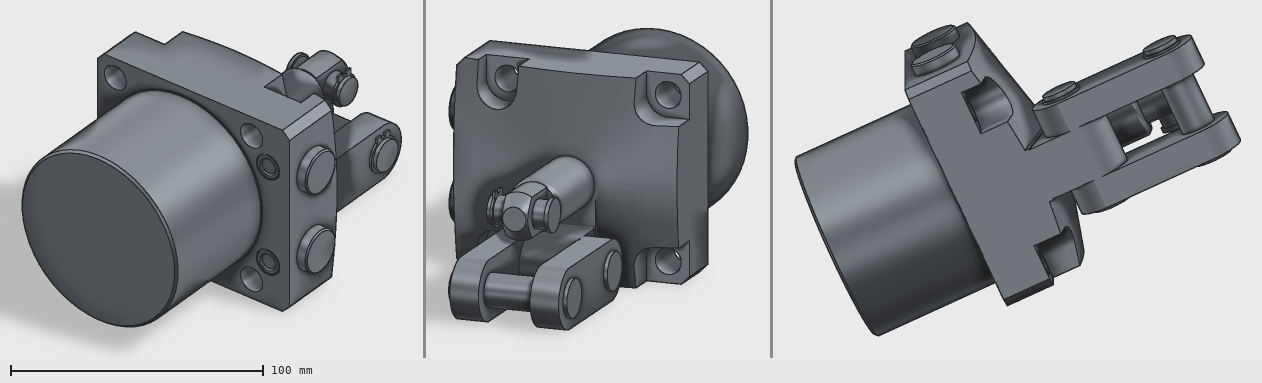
import cadquery as cq
import math


total_length = 166.0
flange_back_y = 55.0
pocket_floor_y = 75.0
nose_y = 96.5
rod_pin_y = 144.0
rod_tip_y = 155.0
tongue_start_y = 133.6

half_height = 43.0
block_left = 43.0
block_right = 53.0
block_chamfer = 3.5
barrel_radius = 39.0
barrel_chamfer = 1.0
neck_length = 0.5
neck_radius = barrel_radius + 0.5
nose_radius = 13.0
nose_slope = math.radians(15)

mount_offset = 34.0
mount_hole_radius = 5.5
pocket_radius = 9.1

port_x = 42.2
port_z = 22.5
seat_radius = 5.8
seat_depth = 0.7
seal_bore_radius = 3.3

plug_y = 69.2
plug_z = 18.8
plug_radius = 9.6
plug_height = 4.8
plug_chamfer = 0.7

link_radius = 12.8
link_half_height = 12.6
link_inner = 11.0
link_outer = 23.0
link_z = link_half_height - half_height
pin_spacing = 43.8
front_pin_y = total_length - link_radius
rear_pin_y = front_pin_y - pin_spacing
lug_pad_half_width = 11.5
lug_root_fillet = 1.0

rod_radius = 11.1
rod_chamfer = 1.7
rod_edge_fillet = 1.3
tongue_radius = 10.0
tongue_half_width = 5.5
tip_chamfer = 5.0

link_pin_radius = 7.0
rod_pin_radius = 6.0
head_overhang = 1.0
head_thickness = 1.7
clip_thickness = 1.0
pin_end_length = 2.8
ear_reach = 2.3
ear_inner = 1.3
ear_width = 2.7


def cylinder_along_y(radius, start, end, x=0.0, z=0.0):
    return cq.Workplane("XZ", origin=(x, start, z)).circle(radius).extrude(start - end)


def cylinder_along_x(radius, start, end, y, z):
    return cq.Workplane("YZ", origin=(start, y, z)).circle(radius).extrude(end - start)


def cone_along_y(start_radius, end_radius, start, end, x=0.0, z=0.0):
    base = cq.Vector(x, start, z)
    cone = cq.Solid.makeCone(start_radius, end_radius, end - start, base, cq.Vector(0, 1, 0))
    return cq.Workplane(cone)


def box_between(x0, x1, y0, y1, z0, z1):
    return cq.Workplane("XY").box(x1 - x0, y1 - y0, z1 - z0, centered=False).translate((x0, y0, z0))


def make_block():
    block = box_between(-block_left, block_right, flange_back_y, nose_y, -half_height, half_height)
    block = block.edges("|Y").chamfer(block_chamfer)
    cone_drop = nose_y - flange_back_y
    cone_radius = nose_radius + cone_drop / math.tan(nose_slope)
    cone = cone_along_y(cone_radius, nose_radius, flange_back_y, nose_y)
    return block.intersect(cone)


def make_barrel():
    barrel = cylinder_along_y(barrel_radius, 0, flange_back_y).faces("<Y").chamfer(barrel_chamfer)
    neck = cylinder_along_y(neck_radius, flange_back_y - neck_length, flange_back_y)
    return barrel.union(neck)


def screw_pocket(side_x, side_z):
    """Screw-head pocket, open towards Z, and towards X as well on the -X side."""
    center_x = side_x * mount_offset
    center_z = side_z * mount_offset
    pocket = cylinder_along_y(pocket_radius, pocket_floor_y, nose_y, center_x, center_z)
    z_range = sorted((center_z, side_z * half_height))
    pocket = pocket.union(
        box_between(center_x - pocket_radius, center_x + pocket_radius, pocket_floor_y, nose_y, *z_range)
    )
    if side_x < 0:
        z_range = sorted((center_z - side_z * pocket_radius, side_z * half_height))
        pocket = pocket.union(box_between(-block_left, center_x, pocket_floor_y, nose_y, *z_range))
    return pocket


def link_bar(inner, outer, back_y, front_y):
    """Flat bar between two X positions, as high as a link."""
    bottom = link_z - link_half_height
    top = link_z + link_half_height
    return box_between(inner, outer, back_y, front_y, bottom, top)


def link_end(inner, outer, pin_y):
    """Rounded end of a link around a pin, trimmed to the height of the bar."""
    end = cylinder_along_x(link_radius, inner, outer, pin_y, link_z)
    return end.intersect(link_bar(inner, outer, pin_y - link_radius, pin_y + link_radius))


def make_link(inner, outer):
    link = link_bar(inner, outer, rear_pin_y, front_pin_y)
    for pin_y in (rear_pin_y, front_pin_y):
        link = link.union(link_end(inner, outer, pin_y))
    return link


def make_lug():
    """Lug around the rear pin, on a pad that slopes back like the cone below the top of the lug."""
    top = link_z + link_half_height
    pad_bottom_y = nose_y - (top + half_height) * math.tan(nose_slope)
    pad = (
        cq.Workplane("YZ", origin=(-lug_pad_half_width, 0, 0))
        .moveTo(pocket_floor_y, 0)
        .lineTo(nose_y, 0)
        .lineTo(nose_y, top)
        .lineTo(pad_bottom_y, -half_height)
        .lineTo(pocket_floor_y, -half_height)
        .close()
        .extrude(2 * lug_pad_half_width)
    )
    lug = pad.union(link_bar(-link_inner, link_inner, pocket_floor_y, rear_pin_y))
    root_edge = cq.selectors.NearestToPointSelector((0, nose_y, top))
    lug = lug.edges(root_edge).fillet(lug_root_fillet)
    return lug.union(link_end(-link_inner, link_inner, rear_pin_y))


def port_seat(z):
    """Shallow recess around a seal ring with 45 degree sides, flush with the flange face."""
    floor_y = flange_back_y + seat_depth
    recess = cylinder_along_y(seat_radius, flange_back_y, floor_y, port_x, z)
    ring = cone_along_y(seat_radius - seat_depth, seat_radius, flange_back_y, floor_y, port_x, z)
    bore = cone_along_y(
        seal_bore_radius + seat_depth, seal_bore_radius, flange_back_y, floor_y, port_x, z
    )
    return recess.cut(ring).union(bore)


def make_plug(z):
    plug = cylinder_along_x(plug_radius, block_right, block_right + plug_height, plug_y, z)
    return plug.faces(">X").chamfer(plug_chamfer)


def make_housing():
    housing = make_block().union(make_barrel())
    for side_x in (-1, 1):
        for side_z in (-1, 1):
            center = (side_x * mount_offset, side_z * mount_offset)
            housing = housing.cut(cylinder_along_y(mount_hole_radius, flange_back_y, nose_y, *center))
            housing = housing.cut(screw_pocket(side_x, side_z))
    for side_z in (-1, 1):
        housing = housing.cut(port_seat(side_z * port_z))
        housing = housing.union(make_plug(side_z * plug_z))
    housing = housing.union(make_lug())
    housing = housing.union(make_link(-link_outer, -link_inner))
    housing = housing.union(make_link(link_inner, link_outer))
    for pin_y in (rear_pin_y, front_pin_y):
        housing = housing.cut(cylinder_along_x(link_pin_radius, -link_outer, link_outer, pin_y, link_z))
    return housing


def make_rod():
    rod = cylinder_along_y(rod_radius, nose_y, tongue_start_y).faces(">Y").chamfer(rod_chamfer)
    rim = cq.selectors.NearestToPointSelector((0, tongue_start_y - rod_chamfer, 0))
    rod = rod.edges(rim).fillet(rod_edge_fillet)
    tongue = cylinder_along_y(tongue_radius, tongue_start_y, rod_tip_y).faces(">Y").chamfer(tip_chamfer)
    slab = box_between(
        -tongue_half_width, tongue_half_width, tongue_start_y, rod_tip_y, -tongue_radius, tongue_radius
    )
    rod = rod.union(tongue.intersect(slab))
    return rod.cut(cylinder_along_x(rod_pin_radius, -link_inner, link_inner, rod_pin_y, 0))


def make_pin(radius, half_grip, y, z):
    """Pin with a head at the -X end and a retaining clip near the +X end."""
    head_radius = radius + head_overhang
    pin = cylinder_along_x(radius, -half_grip, half_grip + pin_end_length, y, z)
    pin = pin.union(cylinder_along_x(head_radius, -half_grip - head_thickness, -half_grip, y, z))
    clip_end = half_grip + clip_thickness
    pin = pin.union(cylinder_along_x(head_radius, half_grip, clip_end, y, z))
    for ear_y in (y + ear_inner, y - ear_inner - ear_width):
        ear = box_between(half_grip, clip_end, ear_y, ear_y + ear_width, z, z + radius + ear_reach)
        pin = pin.union(ear)
    return pin


housing = make_housing()
rod = make_rod()
rod_pin = make_pin(rod_pin_radius, link_inner, rod_pin_y, 0)
link_pins = [make_pin(link_pin_radius, link_outer, y, link_z) for y in (rear_pin_y, front_pin_y)]

result = cq.Compound.makeCompound(
    [housing.val(), rod.val(), rod_pin.val(), *[pin.val() for pin in link_pins]]
)